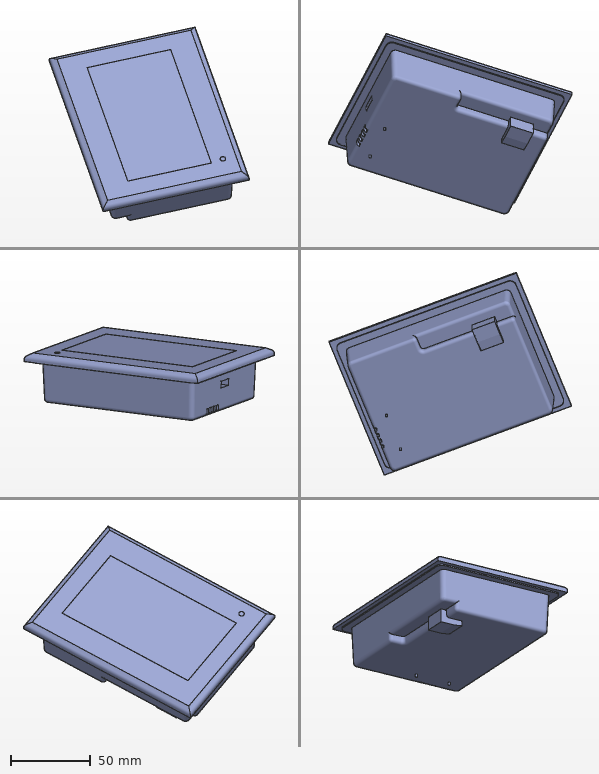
import cadquery as cq
import math


bezel_length = 126.0
bezel_width = 95.0
bezel_thickness = 5.3
rim_height = 1.4
rim_radius = 2.8
bevel_angle = 30.0

window_length = 94.9
window_width = 54.3
lamp_diameter = 3.4
lamp_x = 46.1
lamp_y = 35.0
sunk_depth = 0.1

gasket_inset = 2.9
gasket_corner_radius = 4.0
gasket_thickness = 0.9

housing_length = 110.6
housing_width = 79.6
housing_corner_radius = 3.0
housing_draft = 2.0
housing_edge_radius = 2.1
parting_z = -18.0
floor_z = -32.1

recess_start_x = -8.0
recess_wall_y = -29.0
recess_ceiling_z = -27.1
recess_corner_radius = 2.1

connector_start_x = 27.5
connector_length = 15.2
connector_front_y = -32.9
connector_back_y = -17.5
connector_slope_y = -23.5
connector_top_z = -27.3
connector_bottom_z = -36.2
connector_back_rise = 0.8

port_width = 9.2
port_height = 4.3
port_middle_z = -15.0
port_depth = 7.5

slot_count = 4
slot_width = 2.0
slot_pitch = 4.0
slot_first_y = 8.3
slot_top_z = -27.5
slot_depth = 2.5

stud_diameter = 1.5
stud_length = 1.8
stud_x = -43.6
stud_ys = (1.9, 26.0)
stud_root = 1.3

margin = 0.6

gasket_top_z = -bezel_thickness
housing_top_z = gasket_top_z - gasket_thickness
housing_side_x = -housing_length / 2


def make_bezel():
    """Straight rim, tangent rounding and bevel, mitred at sharp corners."""
    bevel = math.radians(bevel_angle)
    rim_top_z = rim_height - bezel_thickness
    mid_bevel = math.radians((90 + bevel_angle) / 2)

    def rim_point(angle):
        """Inset and height on the rounding where its slope is `angle` from horizontal."""
        return rim_radius * (1 - math.sin(angle)), rim_top_z + rim_radius * math.cos(angle)

    arc_middle = rim_point(mid_bevel)
    arc_end = rim_point(bevel)
    bevel_inset = arc_end[0] - arc_end[1] / math.tan(bevel)

    def prism(plane, half_size, length):
        """Edge profile on both sides of a bar of the given length."""
        middle_x = half_size - arc_middle[0]
        end_x = half_size - arc_end[0]
        top_x = half_size - bevel_inset
        return (
            cq.Workplane(plane)
            .moveTo(-half_size, -bezel_thickness)
            .lineTo(half_size, -bezel_thickness)
            .lineTo(half_size, rim_top_z)
            .threePointArc((middle_x, arc_middle[1]), (end_x, arc_end[1]))
            .lineTo(top_x, 0)
            .lineTo(-top_x, 0)
            .lineTo(-end_x, arc_end[1])
            .threePointArc((-middle_x, arc_middle[1]), (-half_size, rim_top_z))
            .close()
            .extrude(length / 2, both=True)
        )

    across_x = prism("XZ", bezel_length / 2, bezel_width)
    across_y = prism("YZ", bezel_width / 2, bezel_length)
    return across_x.intersect(across_y)


def make_front_recesses():
    """Shallow pockets for the display window and the lamp."""
    top = cq.Workplane("XY")
    window = top.rect(window_length, window_width).extrude(-sunk_depth)
    lamp = top.center(lamp_x, lamp_y).circle(lamp_diameter / 2).extrude(-sunk_depth)
    return window.union(lamp)


def make_gasket():
    return (
        cq.Workplane("XY", origin=(0, 0, gasket_top_z))
        .rect(bezel_length - 2 * gasket_inset, bezel_width - 2 * gasket_inset)
        .extrude(-gasket_thickness)
        .edges("|Z")
        .fillet(gasket_corner_radius)
    )


def make_recess_cutter():
    """Block that removes the lower -Y edge of the cover, up to the recess ceiling."""
    front_y = -housing_width / 2
    ceiling_rise = (recess_wall_y - front_y) * math.tan(math.radians(housing_draft))
    return (
        cq.Workplane("YZ", origin=(recess_start_x, 0, 0))
        .moveTo(front_y, floor_z)
        .lineTo(front_y, recess_ceiling_z)
        .lineTo(recess_wall_y, recess_ceiling_z + ceiling_rise)
        .lineTo(recess_wall_y, floor_z)
        .close()
        .extrude(housing_length / 2 - recess_start_x)
        .edges("|Z and <X and >Y")
        .fillet(recess_corner_radius)
    )


def drafted_block(top_z, bottom_z):
    """Slice of the drafted housing between two heights, with rounded corners."""
    shrink = (housing_top_z - top_z) * math.tan(math.radians(housing_draft))
    return (
        cq.Workplane("XY", origin=(0, 0, top_z))
        .rect(housing_length - 2 * shrink, housing_width - 2 * shrink)
        .extrude(bottom_z - top_z, taper=housing_draft)
        .edges("not #Z")
        .fillet(housing_corner_radius)
    )


def edges_centred_within(x_range, y_range, z_range):
    """Selector for edges whose centre lies in a box."""
    lows, highs = zip(x_range, y_range, z_range)
    return cq.selectors.BoxSelector(lows, highs)


def make_rear_cover():
    """Lower part of the housing with its recess; floor and recess rims are rounded."""
    cover = drafted_block(parting_z, floor_z).cut(make_recess_cutter())
    all_x = (-bezel_length / 2, bezel_length / 2)
    all_y = (-bezel_width / 2, bezel_width / 2)
    floor_heights = (floor_z - margin, floor_z + margin)
    recess_heights = (floor_z - margin, recess_ceiling_z + margin)
    front_strip = (all_y[0], housing_corner_radius - housing_width / 2)
    side_strip = (housing_length / 2 - housing_corner_radius, all_x[1])
    rims = (
        edges_centred_within(all_x, all_y, floor_heights)
        + edges_centred_within(all_x, front_strip, recess_heights)
        + edges_centred_within(side_strip, all_y, recess_heights)
    )
    return cover.edges(rims).fillet(housing_edge_radius)


def make_connector():
    """Block whose underside rises toward the back; it reaches into the recess wall."""
    return (
        cq.Workplane("YZ", origin=(connector_start_x, 0, 0))
        .moveTo(connector_front_y, connector_top_z)
        .lineTo(connector_front_y, connector_bottom_z)
        .lineTo(connector_slope_y, connector_bottom_z)
        .lineTo(connector_back_y, connector_bottom_z + connector_back_rise)
        .lineTo(connector_back_y, connector_top_z)
        .close()
        .extrude(connector_length)
    )


def make_studs():
    """Pins that start inside the housing and end in hemispheres below the floor."""
    radius = stud_diameter / 2
    straight_length = stud_length - radius
    pins = (
        cq.Workplane("XY", origin=(0, 0, floor_z + stud_root))
        .pushPoints([(stud_x, y) for y in stud_ys])
        .circle(radius)
        .extrude(-stud_root - straight_length)
    )
    tips = (
        cq.Workplane("XY", origin=(0, 0, floor_z - straight_length))
        .pushPoints([(stud_x, y) for y in stud_ys])
        .sphere(radius)
    )
    return pins.union(tips)


def side_pocket(middle_y, width, bottom_z, top_z, depth):
    """Box cut into the -X side, `depth` measured from the side's widest place."""
    return (
        cq.Workplane("YZ", origin=(housing_side_x, 0, 0))
        .center(middle_y, (bottom_z + top_z) / 2)
        .rect(width, top_z - bottom_z)
        .extrude(depth)
    )


def make_side_openings():
    """Port and ventilation slots in the -X side; the slots run out through the floor."""
    port_bottom_z = port_middle_z - port_height / 2
    openings = side_pocket(0, port_width, port_bottom_z, port_bottom_z + port_height, port_depth)
    for index in range(slot_count):
        slot_y = slot_first_y + index * slot_pitch
        openings = openings.union(side_pocket(slot_y, slot_width, floor_z, slot_top_z, slot_depth))
    return openings


result = (
    make_bezel()
    .cut(make_front_recesses())
    .union(make_gasket())
    .union(drafted_block(housing_top_z, parting_z))
    .union(make_rear_cover().union(make_connector()), clean=False)
    .union(make_studs(), clean=False)
    .cut(make_side_openings(), clean=False)
)